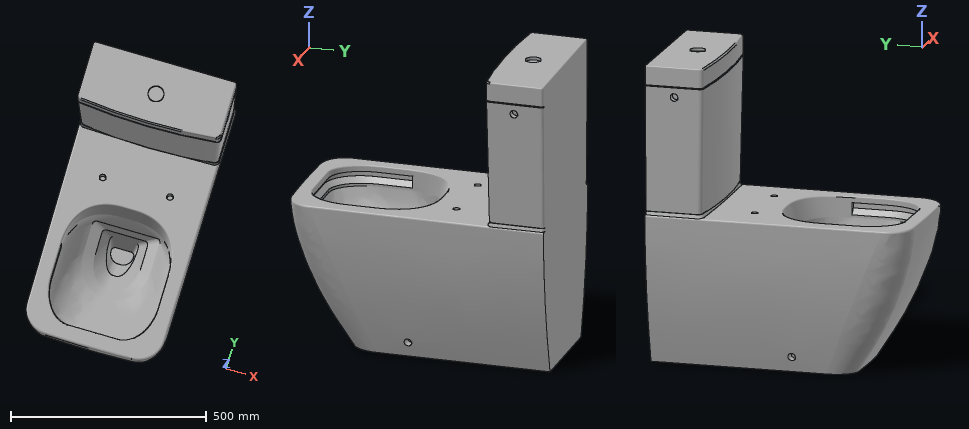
import cadquery as cq
import math


TOTAL_WIDTH = 383.14
TOTAL_REACH = 701.3
TOTAL_HEIGHT = 798.5

RIM_HEIGHT = 402.0
PAN_TOP_HALF_WIDTH = 188.5
PAN_BASE_HALF_WIDTH = 132.5
PAN_BASE_REACH = 543.0
PAN_SIDE_TAPER = 4.0
SIDE_BULGE = 1.9
FRONT_BULGE = 1.7
CORNER_REACH_TOP = 631.0
CORNER_REACH_BASE = 468.0
FRONT_FLAT_TOP = 115.0
FRONT_FLAT_BASE = 82.0
FRONT_FLAT_BULGE = 1.7
FRONT_BOW = 2.0
PAN_SECTIONS = 5
RIM_EDGE_RADIUS = 6.0
WIDEST_HEIGHT = RIM_HEIGHT - RIM_EDGE_RADIUS

PLINTH_TOP = 411.0
PLINTH_BASE_HALF_WIDTH = 187.0
PLINTH_BASE_REACH = 160.0
PLINTH_TOP_HALF_WIDTH = 182.0
PLINTH_TOP_REACH = 152.0
PLINTH_BOW = 3.0
TANK_BASE_HALF_WIDTH = 184.0
TANK_BASE_REACH = 160.0
LID_HALF_WIDTH = TOTAL_WIDTH / 2
LID_REACH = 166.0
LID_HEIGHT = 51.5
LID_BOTTOM = TOTAL_HEIGHT - LID_HEIGHT
LID_EDGE_RADIUS = 4.0
JOINT_GAP = 2.5
JOINT_DEPTH = 2.0
TANK_TOP = LID_BOTTOM - JOINT_GAP
TANK_BOW = 10.0
TANK_CORNER = 12.0
TANK_REAR_RADIUS = 7.0

OPENING_HALF_WIDTH = 143.0
OPENING_REAR = 325.0
OPENING_FRONT = 658.0
OPENING_EDGE_RADIUS = 4.0
SHELF_HEIGHT = 345.0
SHELF_INSET = 16.0
CHANNEL_TOP = 385.0
CHANNEL_LEDGE = 368.0
CHANNEL_BOTTOM = 350.0
CHANNEL_DEPTH = 12.0
CHANNEL_OVERLAP = 2.0
CHANNEL_START = 457.0
OPENING_REAR_FLAT = 16.0
OPENING_REAR_DEPTH = 140.0
OPENING_REAR_HANDLE = 0.64
OPENING_FRONT_FLAT = 65.0
OPENING_FRONT_DEPTH = 110.0
WELL_CORNER = 10.0
WELL_FRONT_FLAT = 4.0
BOWL_MID_HEIGHT = 285.0
BOWL_MID_HALF_WIDTH = 127.0
BOWL_MID_REAR = 344.0
BOWL_MID_FRONT = 615.0
BOWL_MID_REAR_FLAT = 55.0
BOWL_MID_REAR_DEPTH = 70.0
BOWL_MID_FRONT_FLAT = 40.0
WELL_LEVELS = (
    (232.0, 90.0, 348.0, 536.0, 100.0),
    (214.0, 61.0, 360.0, 509.0, 80.0),
    (185.0, 38.0, 366.0, 464.0, 80.0),
    (120.0, 30.0, 381.0, 420.0, 28.0),
)

BUTTON_DIAMETER = 40.6
BUTTON_DEPTH = 8.0
BUTTON_REACH = 87.0
SEAT_HOLE_DIAMETER = 17.0
SEAT_HOLE_DEPTH = 30.0
SEAT_HOLE_OFFSET = 90.0
SEAT_HOLE_REACH = 265.0
SIDE_HOLE_DIAMETER = 20.0
SIDE_HOLE_DEPTH = 20.0
INLET_REACH = 79.0
INLET_HEIGHT = 719.0
FIXING_REACH = 379.0
FIXING_HEIGHT = 41.5

QUARTER_HANDLE = 4 / 3 * math.tan(math.pi / 8)


def blend(start, end, fraction):
    return start + (end - start) * fraction


def line(start, end):
    return cq.Edge.makeLine(cq.Vector(*start), cq.Vector(*end))


def corner(start, apex, end, handle=QUARTER_HANDLE):
    """Corner edge tangent to the lines meeting at apex, by default a quarter ellipse."""
    a, p, b = cq.Vector(*start), cq.Vector(*apex), cq.Vector(*end)
    return cq.Edge.makeBezier([a, a + (p - a) * handle, b + (p - b) * handle, b])


def front_arc(half_width, reach, bow, z):
    """Shallow front edge running from -X to +X, foremost on the centre line."""
    ends = [cq.Vector(side * half_width, bow - reach, z) for side in (-1, 1)]
    return cq.Edge.makeThreePointArc(ends[0], cq.Vector(0, -reach, z), ends[1])


def body_section(z, back_half, side_half, reach, flat_half, corner_depth, bow):
    """Closed outline with a straight back on the wall and rounded front corners."""
    front_y = bow - reach
    side_y = front_y + corner_depth
    edges = [
        line((back_half, 0, z), (-back_half, 0, z)),
        line((-back_half, 0, z), (-side_half, side_y, z)),
        corner((-side_half, side_y, z), (-side_half, front_y, z), (-flat_half, front_y, z)),
        front_arc(flat_half, reach, bow, z),
        corner((flat_half, front_y, z), (side_half, front_y, z), (side_half, side_y, z)),
        line((side_half, side_y, z), (back_half, 0, z)),
    ]
    return cq.Wire.assembleEdges(edges)


def bowl_section(
    z, half, rear, front, rear_flat, rear_depth, front_flat, front_depth, rear_handle=QUARTER_HANDLE
):
    """Closed outline with straight back, sides and front joined by four rounded corners."""
    rear_y, front_y = -rear, -front
    rear_side_y = rear_y - rear_depth
    left_rear = ((-rear_flat, rear_y, z), (-half, rear_y, z), (-half, rear_side_y, z))
    right_rear = ((half, rear_side_y, z), (half, rear_y, z), (rear_flat, rear_y, z))
    front_side_y = front_y + front_depth
    edges = [
        line((rear_flat, rear_y, z), (-rear_flat, rear_y, z)),
        corner(*left_rear, rear_handle),
        line((-half, rear_side_y, z), (-half, front_side_y, z)),
        corner((-half, front_side_y, z), (-half, front_y, z), (-front_flat, front_y, z)),
        line((-front_flat, front_y, z), (front_flat, front_y, z)),
        corner((front_flat, front_y, z), (half, front_y, z), (half, front_side_y, z)),
        line((half, front_side_y, z), (half, rear_side_y, z)),
        corner(*right_rear, rear_handle),
    ]
    return cq.Wire.assembleEdges(edges)


def loft(sections, ruled=False):
    return cq.Workplane(obj=cq.Solid.makeLoft(sections, ruled))


def pan_section(z):
    drop = 1 - z / WIDEST_HEIGHT
    side_loss = (PAN_TOP_HALF_WIDTH - PAN_BASE_HALF_WIDTH) * abs(drop) ** SIDE_BULGE
    front_loss = (TOTAL_REACH - PAN_BASE_REACH) * abs(drop) ** FRONT_BULGE
    flat_loss = (FRONT_FLAT_TOP - FRONT_FLAT_BASE) * abs(drop) ** FRONT_FLAT_BULGE
    back_half = PAN_TOP_HALF_WIDTH - side_loss
    reach = TOTAL_REACH - front_loss
    corner_reach = blend(CORNER_REACH_TOP, CORNER_REACH_BASE, drop)
    return body_section(
        z,
        back_half,
        back_half - PAN_SIDE_TAPER * (1 - drop),
        reach,
        FRONT_FLAT_TOP - flat_loss,
        reach - FRONT_BOW - corner_reach,
        FRONT_BOW,
    )


def make_pan():
    heights = [WIDEST_HEIGHT * i / (PAN_SECTIONS - 1) for i in range(PAN_SECTIONS)]
    pan = loft([pan_section(z) for z in heights + [RIM_HEIGHT]])
    return pan.faces(">Z").edges("not >Y").fillet(RIM_EDGE_RADIUS)


def make_block(bottom, top, base, head, bow=TANK_BOW):
    """Bow-fronted block with rounded rear edges; base and head are (half width, reach)."""
    sections = [
        body_section(z, half, half, reach, half - TANK_CORNER, TANK_CORNER, bow)
        for z, (half, reach) in ((bottom, base), (top, head))
    ]
    block = loft(sections, ruled=True)
    return block.faces(">Y").edges("<X or >X").fillet(TANK_REAR_RADIUS)


def make_cistern():
    lid_size = (LID_HALF_WIDTH, LID_REACH)
    joint_size = (LID_HALF_WIDTH - JOINT_DEPTH, LID_REACH - JOINT_DEPTH)
    plinth = make_block(
        WIDEST_HEIGHT,
        PLINTH_TOP,
        (PLINTH_BASE_HALF_WIDTH, PLINTH_BASE_REACH),
        (PLINTH_TOP_HALF_WIDTH, PLINTH_TOP_REACH),
        PLINTH_BOW,
    )
    tank = make_block(PLINTH_TOP, TANK_TOP, (TANK_BASE_HALF_WIDTH, TANK_BASE_REACH), lid_size)
    joint = make_block(TANK_TOP, LID_BOTTOM, joint_size, joint_size)
    lid = make_block(LID_BOTTOM, TOTAL_HEIGHT, lid_size, lid_size)
    lid = lid.faces(">Z").edges().fillet(LID_EDGE_RADIUS)
    return plinth.union(tank).union(joint).union(lid)


def opening_section(z, rear_inset=0.0, grow=0.0):
    return bowl_section(
        z,
        OPENING_HALF_WIDTH + grow,
        OPENING_REAR + rear_inset,
        OPENING_FRONT + grow,
        OPENING_REAR_FLAT,
        OPENING_REAR_DEPTH - rear_inset,
        OPENING_FRONT_FLAT,
        OPENING_FRONT_DEPTH,
        OPENING_REAR_HANDLE,
    )


def well_section(z, half, rear, front, front_depth):
    """Outline of the lower bowl: square at the drain wall, round towards the front."""
    return bowl_section(
        z, half, rear, front, half - WELL_CORNER, WELL_CORNER, WELL_FRONT_FLAT, front_depth
    )


def make_bowl_cut():
    shelf = opening_section(SHELF_HEIGHT, SHELF_INSET)
    middle = bowl_section(
        BOWL_MID_HEIGHT,
        BOWL_MID_HALF_WIDTH,
        BOWL_MID_REAR,
        BOWL_MID_FRONT,
        BOWL_MID_REAR_FLAT,
        BOWL_MID_REAR_DEPTH,
        BOWL_MID_FRONT_FLAT,
        OPENING_FRONT_DEPTH,
    )
    levels = [well_section(*level) for level in WELL_LEVELS]
    cut = loft([opening_section(RIM_HEIGHT), shelf], ruled=True)
    return cut.union(loft([shelf, middle, levels[0]])).union(loft(levels, ruled=True))


def make_channel_cut():
    """Flush channel undercutting the front and flanks of the rim."""
    floor = opening_section(CHANNEL_BOTTOM, grow=-CHANNEL_OVERLAP)
    ledge = opening_section(CHANNEL_LEDGE, grow=CHANNEL_DEPTH)
    roof = opening_section(CHANNEL_TOP, grow=CHANNEL_DEPTH)
    ring = loft([floor, ledge, roof], ruled=True)
    front_part = cq.Workplane("XY").box(
        TOTAL_WIDTH, TOTAL_REACH - CHANNEL_START, RIM_HEIGHT, centered=(True, False, False)
    )
    return ring.intersect(front_part.translate((0, -TOTAL_REACH, 0)))


def vertical_hole(x, reach, top, diameter, depth):
    return cq.Workplane("XY", origin=(x, -reach, top - depth)).circle(diameter / 2).extrude(depth)


def side_hole(side, reach, height, floor_half):
    """Blind hole in a flank; its flat floor lies floor_half away from the symmetry plane."""
    start = cq.Workplane("YZ", origin=(side * floor_half, -reach, height))
    return start.circle(SIDE_HOLE_DIAMETER / 2).extrude(side * TOTAL_WIDTH / 2)


def cut_holes(body):
    body = body.cut(vertical_hole(0, BUTTON_REACH, TOTAL_HEIGHT, BUTTON_DIAMETER, BUTTON_DEPTH))
    for side in (-1, 1):
        seat_x = side * SEAT_HOLE_OFFSET
        body = body.cut(
            vertical_hole(seat_x, SEAT_HOLE_REACH, RIM_HEIGHT, SEAT_HOLE_DIAMETER, SEAT_HOLE_DEPTH)
        )
        body = body.cut(side_hole(side, INLET_REACH, INLET_HEIGHT, LID_HALF_WIDTH - SIDE_HOLE_DEPTH))
        body = body.cut(
            side_hole(side, FIXING_REACH, FIXING_HEIGHT, PAN_BASE_HALF_WIDTH - SIDE_HOLE_DEPTH)
        )
    return body


pan = make_pan().cut(make_bowl_cut())
pan = pan.faces(">Z").wires(cq.selectors.AreaNthSelector(0)).edges().fillet(OPENING_EDGE_RADIUS)
pan = pan.cut(make_channel_cut())
result = cut_holes(pan.union(make_cistern()))